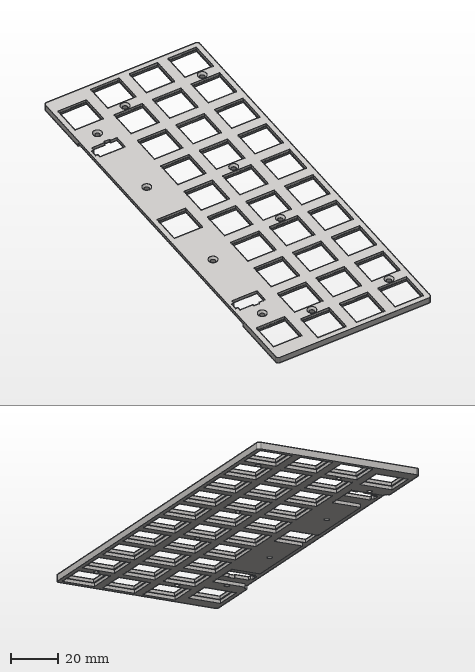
import cadquery as cq

length = 190.5
width = 76.2
thickness = 3.0
corner_radius = 1.3

clip_layer = 1.5
relief_height = thickness - clip_layer

key_pitch = 19.0
key_lip = 0.53
key_relief = 15.0
key_opening = key_relief - 2 * key_lip
columns = 10
full_rows = 3
bottom_row_y = -1.5 * key_pitch
bottom_key_x = 4.25 * key_pitch

screw_diameter = 2.3
head_diameter = 4.2
head_angle = 90
bottom_screw_inner_x = 27.0
bottom_screw_outer_x = 67.2

stabilizer_x = 3 * key_pitch
stabilizer_width = 6.7
stabilizer_top = 5.5
stabilizer_bottom = -6.9
foot_width = 3.2
foot_depth = 1.1
side_notch_width = 2.9
side_notch_depth = 0.8
side_notch_y = 1.0

clearance_half_length = 65.3
wire_channel_depth = 3.8
housing_inner_x = 47.5
housing_top = 7.6
entry_radius = 2.0

front_y = -width / 2


def block(x_min, x_max, y_min, y_max, height):
    """Box standing on the underside plane, given by its limits in X and Y."""
    return (
        cq.Workplane("XY")
        .box(x_max - x_min, y_max - y_min, height, centered=False)
        .translate((x_min, y_min, 0))
    )


def key_positions():
    first_x = -(columns - 1) / 2 * key_pitch
    grid = [
        (first_x + column * key_pitch, bottom_row_y + (row + 1) * key_pitch)
        for column in range(columns)
        for row in range(full_rows)
    ]
    return grid + [(x, bottom_row_y) for x in (-bottom_key_x, 0, bottom_key_x)]


def screw_positions():
    top_row_y = bottom_row_y + full_rows * key_pitch
    one_side = [
        (4 * key_pitch, top_row_y),
        (key_pitch, bottom_row_y + 2 * key_pitch),
        (4 * key_pitch, bottom_row_y + key_pitch),
        (bottom_screw_inner_x, bottom_row_y),
        (bottom_screw_outer_x, bottom_row_y),
    ]
    return [(side * x, y) for side in (-1, 1) for x, y in one_side]


def stabilizer_opening():
    """Opening on the +X side, with a foot at the front and an outward side notch."""
    left = stabilizer_x - stabilizer_width / 2
    right = stabilizer_x + stabilizer_width / 2
    top = bottom_row_y + stabilizer_top
    bottom = bottom_row_y + stabilizer_bottom
    notch_y = bottom_row_y + side_notch_y
    body = block(left, right, bottom, top, thickness)
    foot = block(
        stabilizer_x - foot_width / 2, stabilizer_x + foot_width / 2, bottom - foot_depth, top, thickness
    )
    notch = block(
        stabilizer_x, right + side_notch_depth,
        notch_y - side_notch_width / 2, notch_y + side_notch_width / 2, thickness,
    )
    return body.union(foot).union(notch)


def stabilizer_clearance():
    """Shallow wire channel with a deeper housing pocket at each end and rounded entry corners."""
    back_y = bottom_row_y + housing_top
    channel = block(
        -clearance_half_length, clearance_half_length, front_y, front_y + wire_channel_depth, relief_height
    )
    housing = block(housing_inner_x, clearance_half_length, front_y, back_y, relief_height)
    entry = (
        cq.Workplane("XY")
        .moveTo(clearance_half_length, front_y)
        .lineTo(clearance_half_length + entry_radius, front_y)
        .radiusArc((clearance_half_length, front_y + entry_radius), -entry_radius)
        .close()
        .extrude(relief_height)
    )
    one_end = housing.union(entry)
    return channel.union(one_end).union(one_end.mirror("YZ"))


plate = cq.Workplane("XY").box(length, width, thickness, centered=(True, True, False))
plate = plate.edges("|Z").fillet(corner_radius)

keys = cq.Workplane("XY").pushPoints(key_positions())
plate = plate.cut(keys.rect(key_opening, key_opening).extrude(thickness))
plate = plate.cut(keys.rect(key_relief, key_relief).extrude(relief_height))

plate = (
    plate.faces(">Z").workplane(origin=(0, 0, thickness))
    .pushPoints(screw_positions())
    .cskHole(screw_diameter, head_diameter, head_angle)
)

stabilizer = stabilizer_opening()
plate = plate.cut(stabilizer).cut(stabilizer.mirror("YZ"))
plate = plate.cut(stabilizer_clearance())

result = plate